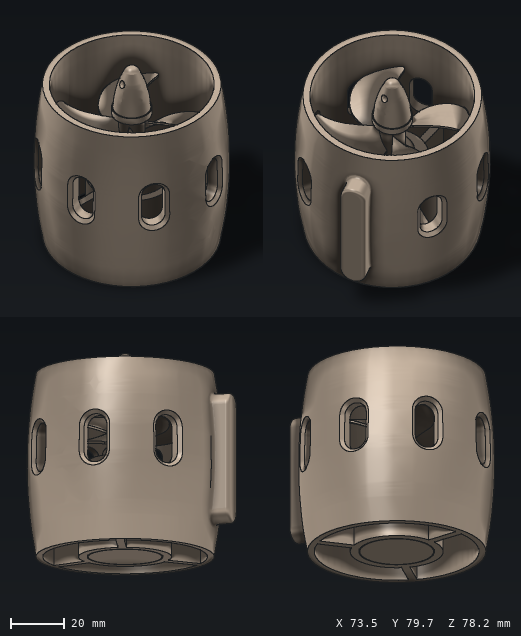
import cadquery as cq
import math

DUCT_HEIGHT = 70.1
BORE_RADIUS = 31.0
RIM_RADIUS = 33.6
BELLY_RADIUS = 36.9

SLOT_WIDTH = 9.0
SLOT_STRAIGHT = 9.5
SLOT_CENTRE_Z = 38.8
SLOT_CHAMFER = 1.5
SLOT_PLACES = 8
LUG_PLACE = 2

LUG_WIDTH = 10.0
LUG_LENGTH = 50.0
LONGEST_SIDE = 79.85
LUG_FACE_Y = LONGEST_SIDE - BELLY_RADIUS
LUG_EDGE_FILLET = 1.5
LUG_ROOT_FILLET = 1.5

MOUNT_TOP_Z = 28.3
MOUNT_OUTER_RADIUS = 17.5
MOUNT_INNER_RADIUS = 14.2
STRUT_WIDTH = 3.2
STRUT_COUNT = 3
FIRST_STRUT_ANGLE = 15.0

MOTOR_RADIUS = 13.9
BELL_BOTTOM_Z = 33.8
BELL_TOP_Z = 36.7

HUB_FOOT_RADIUS = 8.5
HUB_FOOT_TOP_Z = 41.85
HUB_FOOT_FILLET = 2.6
HUB_RADIUS = 5.0
FLANGE_RADIUS = 7.6
FLANGE_BOTTOM_Z = 56.55
FLANGE_TOP_Z = 59.4

BLADE_COUNT = 4
BLADE_TOP_Z = 54.3
BLADE_BOTTOM_Z = 42.3
BLADE_LEAD = 47.4
BLADE_RISE_PER_DEGREE = BLADE_LEAD / 360
BLADE_WEDGE_ANGLE = 7.0
BLADE_TIP_RADIUS = 29.8
BLADE_TOP_ANGLE = 101.0
BLADE_SHEET_MARGIN = 1.6

BLADE_LEADING_ROOT = (-1.3, 3.6)
BLADE_LEADING_BASE = (-2.7, 7.1)
BLADE_LEADING_CURVE = [(-4.95, 14.3), (-5.8, 19.2), (-5.35, 26.8)]
BLADE_CORNER_MIDDLE = (-5.8, 28.4)
BLADE_CORNER_END = (-7.3, 28.8)
BLADE_TIP_MIDDLE_ANGLE = 117.0
BLADE_TIP_END_ANGLE = 131.0
BLADE_TRAILING_CURVE = [(-22.1, 14.85), (-17.2, 5.2), (-13.6, 3.1), (-8.5, 0.6)]
BLADE_TRAILING_ROOT = (-3.6, 0.0)

NOSE_TOP_Z = 78.2
NOSE_BASE_RADIUS = 7.2
NOSE_MID_RADIUS = 5.35
NOSE_MID_Z = DUCT_HEIGHT
DOME_RADIUS = 2.95
DOME_BOTTOM_Z = 76.35
NOSE_HOLE_DIAMETER = 2.8
NOSE_HOLE_Z = 71.95
NOSE_HOLE_ANGLE = 70.0


def cylinder(radius, bottom, top):
    return cq.Workplane("XY").workplane(offset=bottom).circle(radius).extrude(top - bottom)


def polar(radius, angle):
    turn = math.radians(angle)
    return (radius * math.cos(turn), radius * math.sin(turn))


def upright_stadium(width, straight, centre_z):
    """Stadium with its long side along Z, on the plane y = 0 facing -Y."""
    return cq.Workplane("XZ").center(0, centre_z).slot2D(straight + width, width, 90)


def make_barrel():
    return (
        cq.Workplane("XZ")
        .lineTo(RIM_RADIUS, 0)
        .threePointArc((BELLY_RADIUS, DUCT_HEIGHT / 2), (RIM_RADIUS, DUCT_HEIGHT))
        .lineTo(0, DUCT_HEIGHT)
        .close()
        .revolve(360, (0, 0, 0), (0, 1, 0))
    )


def add_lug(barrel):
    lug = upright_stadium(LUG_WIDTH, LUG_LENGTH - LUG_WIDTH, DUCT_HEIGHT / 2).extrude(-LUG_FACE_Y)
    lug = lug.faces(">Y").edges().fillet(LUG_EDGE_FILLET)
    root_edges = cq.selectors.BoxSelector(
        (-LUG_WIDTH, BORE_RADIUS, DUCT_HEIGHT / 2 - LUG_LENGTH / 2 - LUG_ROOT_FILLET),
        (LUG_WIDTH, LUG_FACE_Y - 2 * LUG_EDGE_FILLET, DUCT_HEIGHT / 2 + LUG_LENGTH / 2 + LUG_ROOT_FILLET),
        boundingbox=True,
    )
    return barrel.union(lug).edges(root_edges).fillet(LUG_ROOT_FILLET)


def slot_mouth_edges(body):
    """Edges where the slots open through the outer surface, away from the lug."""
    reach = SLOT_STRAIGHT / 2 + SLOT_WIDTH
    middle_radius = (BORE_RADIUS + BELLY_RADIUS) / 2

    def is_mouth(edge):
        box = edge.BoundingBox()
        near_slots = SLOT_CENTRE_Z - reach < box.zmin and box.zmax < SLOT_CENTRE_Z + reach
        ends = [edge.startPoint(), edge.endPoint()]
        return near_slots and all(math.hypot(end.x, end.y) > middle_radius for end in ends)

    return [edge for edge in body.val().Edges() if is_mouth(edge)]


def cut_slots(body):
    cutter = upright_stadium(SLOT_WIDTH, SLOT_STRAIGHT, SLOT_CENTRE_Z).extrude(2 * BELLY_RADIUS)
    for place in range(SLOT_PLACES):
        if place != LUG_PLACE:
            turn_from_minus_y = place * 360 / SLOT_PLACES + 90
            body = body.cut(cutter.rotate((0, 0, 0), (0, 0, 1), turn_from_minus_y))
    return body.newObject(slot_mouth_edges(body)).chamfer(SLOT_CHAMFER)


def make_mount():
    ring = cylinder(MOUNT_OUTER_RADIUS, 0, MOUNT_TOP_Z)
    reach = (BORE_RADIUS + RIM_RADIUS) / 2
    strut = cq.Workplane("XY").box(reach, STRUT_WIDTH, MOUNT_TOP_Z, centered=(False, True, False))
    for number in range(STRUT_COUNT):
        angle = FIRST_STRUT_ANGLE + number * 360 / STRUT_COUNT
        ring = ring.union(strut.rotate((0, 0, 0), (0, 0, 1), angle))
    return ring.cut(cylinder(MOUNT_INNER_RADIUS, 0, MOUNT_TOP_Z))


def make_duct():
    shell = add_lug(make_barrel()).cut(cylinder(BORE_RADIUS, 0, DUCT_HEIGHT))
    return cut_slots(shell).union(make_mount())


def make_blade_sheet():
    """Thin wedge from the axis outwards, twisted into a screw surface thick enough for a blade."""
    height = BLADE_TOP_Z + BLADE_SHEET_MARGIN - BLADE_BOTTOM_Z
    bottom_angle = BLADE_TOP_ANGLE + (BLADE_TOP_Z - BLADE_BOTTOM_Z) / BLADE_RISE_PER_DEGREE
    first_side = bottom_angle - BLADE_WEDGE_ANGLE / 2
    second_side = bottom_angle + BLADE_WEDGE_ANGLE / 2
    inner = HUB_RADIUS - BLADE_SHEET_MARGIN
    outer = BLADE_TIP_RADIUS + BLADE_SHEET_MARGIN
    return (
        cq.Workplane("XY")
        .workplane(offset=BLADE_BOTTOM_Z)
        .moveTo(*polar(inner, first_side))
        .lineTo(*polar(outer, first_side))
        .lineTo(*polar(outer, second_side))
        .lineTo(*polar(inner, second_side))
        .close()
        .twistExtrude(height, -height / BLADE_RISE_PER_DEGREE)
    )


def make_blade():
    """The part of the screw surface that lies inside the plan outline."""
    tip_middle = polar(BLADE_TIP_RADIUS, BLADE_TIP_MIDDLE_ANGLE)
    tip_end = polar(BLADE_TIP_RADIUS, BLADE_TIP_END_ANGLE)
    outline = (
        cq.Workplane("XY")
        .workplane(offset=BLADE_BOTTOM_Z)
        .moveTo(*BLADE_LEADING_ROOT)
        .lineTo(*BLADE_LEADING_BASE)
        .spline(BLADE_LEADING_CURVE, includeCurrent=True)
        .threePointArc(BLADE_CORNER_MIDDLE, BLADE_CORNER_END)
        .threePointArc(tip_middle, tip_end)
        .spline(BLADE_TRAILING_CURVE, includeCurrent=True)
        .lineTo(*BLADE_TRAILING_ROOT)
        .close()
        .extrude(BLADE_TOP_Z + BLADE_SHEET_MARGIN - BLADE_BOTTOM_Z)
    )
    return make_blade_sheet().intersect(outline)


def make_propeller():
    foot = cylinder(HUB_FOOT_RADIUS, BELL_TOP_Z, HUB_FOOT_TOP_Z)
    foot = foot.faces(">Z").edges().fillet(HUB_FOOT_FILLET)
    propeller = foot.union(cylinder(HUB_RADIUS, BELL_TOP_Z, FLANGE_TOP_Z))
    propeller = propeller.union(cylinder(FLANGE_RADIUS, FLANGE_BOTTOM_Z, FLANGE_TOP_Z))
    blade = make_blade()
    for number in range(BLADE_COUNT):
        propeller = propeller.union(blade.rotate((0, 0, 0), (0, 0, 1), number * 360 / BLADE_COUNT))
    return propeller


def make_nose():
    dome_height = NOSE_TOP_Z - DOME_BOTTOM_Z
    sphere_radius = (DOME_RADIUS**2 + dome_height**2) / (2 * dome_height)
    cone = (
        cq.Workplane("XZ")
        .moveTo(0, FLANGE_TOP_Z)
        .lineTo(NOSE_BASE_RADIUS, FLANGE_TOP_Z)
        .threePointArc((NOSE_MID_RADIUS, NOSE_MID_Z), (DOME_RADIUS, DOME_BOTTOM_Z))
        .radiusArc((0, NOSE_TOP_Z), -sphere_radius)
        .close()
        .revolve(360, (0, 0, 0), (0, 1, 0))
    )
    hole = (
        cq.Workplane("YZ")
        .center(0, NOSE_HOLE_Z)
        .circle(NOSE_HOLE_DIAMETER / 2)
        .extrude(NOSE_BASE_RADIUS, both=True)
        .rotate((0, 0, 0), (0, 0, 1), NOSE_HOLE_ANGLE)
    )
    return cone.cut(hole)


duct = make_duct()
motor_base = cylinder(MOTOR_RADIUS, 0, BELL_BOTTOM_Z)
motor_bell = cylinder(MOTOR_RADIUS, BELL_BOTTOM_Z, BELL_TOP_Z)
propeller = make_propeller()
nose = make_nose()

result = cq.Compound.makeCompound(
    [duct.val(), motor_base.val(), motor_bell.val(), propeller.val(), nose.val()]
)